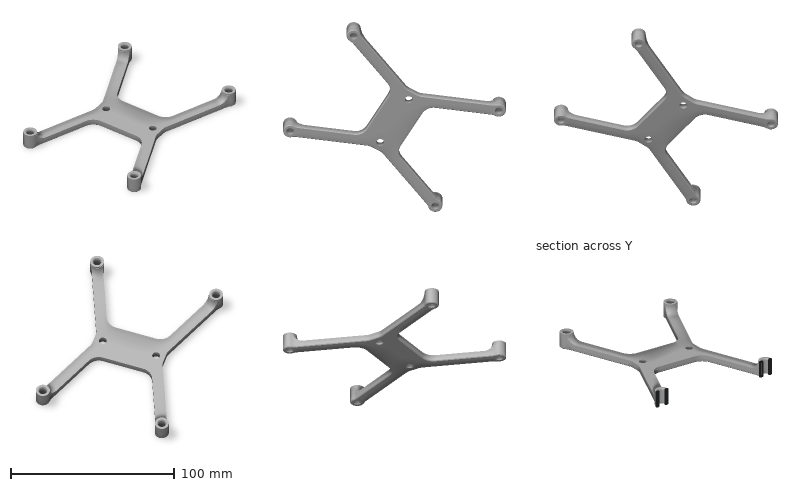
import cadquery as cq
import math

LENGTH = 111.5
WIDTH = 85.5
HEIGHT = 10.1

BOSS_DIAMETER = 8.6
BOSS_HOLE_DIAMETER = 4.6
COUNTERSINK_DIAMETER = 5.6
COUNTERSINK_ANGLE = 60
BOSS_X = (WIDTH - BOSS_DIAMETER) / 2
BOSS_Y = (LENGTH - BOSS_DIAMETER) / 2

PLATE_WIDTH = 45.7
PLATE_LENGTH = 24.1
PLATE_THICKNESS = 4.1
PLATE_HOLE_DIAMETER = 4.8
PLATE_HOLE_SPACING = 34.4
ARM_WIDTH = 7.0

OUTLINE_FILLET = 8.0
BOSS_FOOT_FILLET = 5.0
BOTTOM_CHAMFER = 0.5
FLARE_LEDGE = 0.2

plate_hole_x = PLATE_HOLE_SPACING / 2
arm_run = BOSS_X - plate_hole_x
arm_length = math.hypot(arm_run, BOSS_Y)
arm_angle = math.degrees(math.atan2(BOSS_Y, arm_run))
boss_centres = [(sx * BOSS_X, sy * BOSS_Y) for sx in (-1, 1) for sy in (-1, 1)]
plate_hole_centres = [(-plate_hole_x, 0), (plate_hole_x, 0)]


def flared_boss():
    """Solid of revolution that flares from the boss down to the arm's top face."""
    radius = BOSS_DIAMETER / 2
    flare_top = PLATE_THICKNESS + BOSS_FOOT_FILLET
    neck_radius = radius + FLARE_LEDGE
    foot_radius = neck_radius + BOSS_FOOT_FILLET
    diagonal = BOSS_FOOT_FILLET * math.sqrt(0.5)
    arc_middle = (foot_radius - diagonal, flare_top - diagonal)
    profile = (
        cq.Workplane("XZ")
        .lineTo(foot_radius, 0)
        .lineTo(foot_radius, PLATE_THICKNESS)
        .threePointArc(arc_middle, (neck_radius, flare_top))
        .lineTo(0, flare_top)
        .close()
    )
    return profile.revolve(360, (0, 0, 0), (0, 1, 0))


def arm_with_boss():
    """Arm along +X from the origin, with the boss and its foot blends at the far end."""
    bar = cq.Workplane("XY").rect(arm_length, ARM_WIDTH).extrude(HEIGHT)
    bar = bar.translate((arm_length / 2, 0, 0))
    boss = cq.Workplane("XY").circle(BOSS_DIAMETER / 2).extrude(HEIGHT)
    boss = boss.rotate((0, 0, 0), (0, 0, 1), 180).translate((arm_length, 0, 0))
    arm = bar.union(boss)
    arm = arm.edges("|Z").edges(">X").fillet(OUTLINE_FILLET)
    slab = cq.Workplane("XY").rect(3 * arm_length, 3 * arm_length).extrude(PLATE_THICKNESS)
    envelope = slab.union(flared_boss().translate((arm_length, 0, 0)))
    return arm.intersect(envelope).union(boss)


arm = arm_with_boss().rotate((0, 0, 0), (0, 0, 1), arm_angle).translate((plate_hole_x, 0, 0))
arm_pair = arm.union(arm.mirror("XZ"))
plate = cq.Workplane("XY").rect(PLATE_WIDTH, PLATE_LENGTH).extrude(PLATE_THICKNESS)
body = plate.union(arm_pair).union(arm_pair.mirror("YZ"))

corner_zone = cq.selectors.BoxSelector(
    (-PLATE_WIDTH, -PLATE_LENGTH, 0), (PLATE_WIDTH, PLATE_LENGTH, PLATE_THICKNESS)
)
body = body.edges("|Z").edges(corner_zone).fillet(OUTLINE_FILLET)
body = body.faces("<Z").chamfer(BOTTOM_CHAMFER)

plate_holes = (
    cq.Workplane("XY").pushPoints(plate_hole_centres).circle(PLATE_HOLE_DIAMETER / 2).extrude(HEIGHT)
)
body = body.cut(plate_holes)

result = (
    body.faces(">Z")
    .workplane(origin=(0, 0, HEIGHT))
    .pushPoints(boss_centres)
    .cskHole(BOSS_HOLE_DIAMETER, COUNTERSINK_DIAMETER, COUNTERSINK_ANGLE)
)